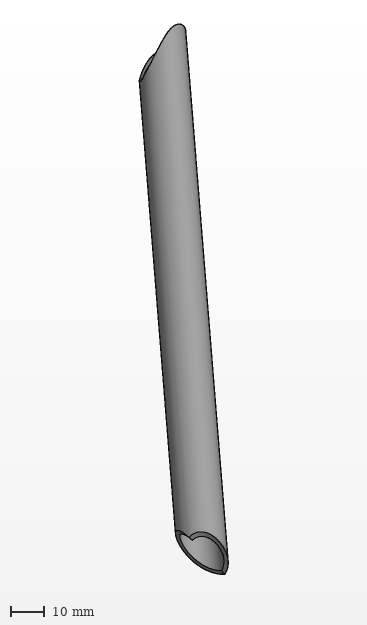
import cadquery as cq

TUBE_RADIUS = 7.5
WALL = 1.3
TUBE_DIRECTION = cq.Vector(20.0, -28.7, -10.0).normalized()
LOWER_POINT = cq.Vector(48.0, -75.7, -24.7)

BLANK_LENGTH = 268.7
LOWER_OVERRUN = 47.4

COPING_MEMBERS = [
    ((-59.3, 0, 29.1), (0, 1, 0), 9.3),
    ((57.0, -92.8, -37.0), (0.9, -0.06, -0.42), 16.8),
    ((60.5, -87.4, -27.8), (-0.43, 0.03, 0.9), 11.5),
]
MEMBER_LENGTH = 474.2


def make_blank():
    """Hollow tube before its ends are coped."""
    start = LOWER_POINT + TUBE_DIRECTION * (LOWER_OVERRUN - BLANK_LENGTH)
    outside = cq.Solid.makeCylinder(TUBE_RADIUS, BLANK_LENGTH, start, TUBE_DIRECTION)
    bore = cq.Solid.makeCylinder(TUBE_RADIUS - WALL, BLANK_LENGTH, start, TUBE_DIRECTION)
    return outside.cut(bore)


def make_member(point, direction, radius):
    """Round solid centred on a point of its axis."""
    axis = cq.Vector(*direction).normalized()
    base = cq.Vector(*point) - axis * (MEMBER_LENGTH / 2)
    return cq.Solid.makeCylinder(radius, MEMBER_LENGTH, base, axis)


tube = make_blank()
for point, direction, radius in COPING_MEMBERS:
    tube = tube.cut(make_member(point, direction, radius))

result = cq.Workplane(max(tube.Solids(), key=lambda piece: piece.Volume()))